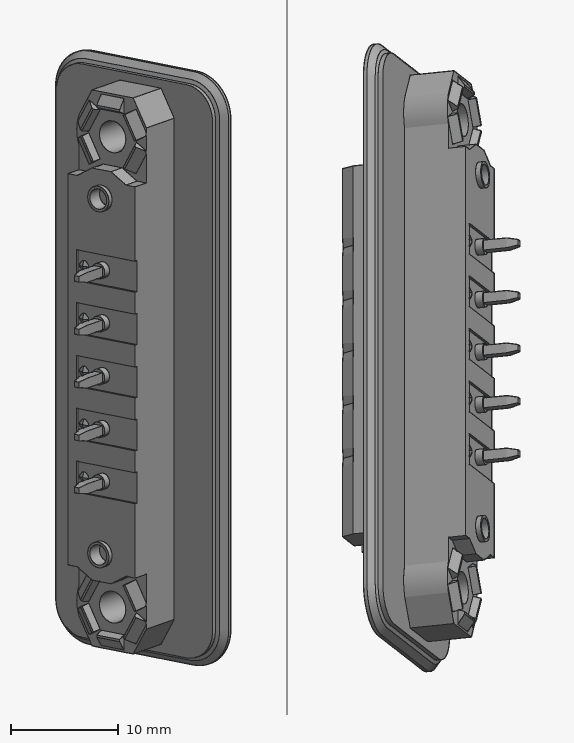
import math

import cadquery as cq


FLANGE_WIDTH = 20.07
FLANGE_HEIGHT = 57.03
FLANGE_OFFSET_X = -0.73
FLANGE_CORNER_RADIUS = 4.0
FLANGE_DEPTH = 1.57
RIM_DEPTH = 0.35
BEVEL_INSET = 0.6
BEVEL_DEPTH = 0.6
LIP_BEVEL_DEPTH = 0.15
STEP_INSET = 0.97

BODY_LEFT = -3.9
BODY_RIGHT = 3.9
BODY_FRONT = 7.6
BODY_END_GAP = 3.8

HOLE_SPACING = 45.2
HOLE_DIAMETER = 3.05
BOSS_FRONT = 5.88
HEX_SIDES = 6
TONGUE_SIDE = 3
BOSS_APOTHEM = 4.12
BOSS_NOSE_RADIUS = 4.16
TAB_TOP = 6.56
TAB_WIDTH = 2.65
TAB_INNER_RADIUS = 2.43
TAB_CREST_INNER_RADIUS = 2.75
TAB_CREST_OUTER_RADIUS = 2.96
TAB_OUTER_RADIUS = 3.9

TONGUE_GAP = 2.8
TONGUE_TIP_HALF_WIDTH = 1.1
TONGUE_BASE_HALF_WIDTH = 2.83

PIN_COUNT = 5
PIN_PITCH = 5.08
PIN_WIDTH = 0.95
PIN_TIP_WIDTH = 0.55
PIN_SHOULDER = 10.4
PIN_END = 11.44
COLLAR_DIAMETER = 1.5
COLLAR_FRONT = 8.1

RECESS_LEFT = -2.9
RECESS_HEIGHT = 2.97
RECESS_DEPTH = 0.25
STUD_X = -2.2
STUD_DIAMETER = 1.05
STUD_POINT_BASE = 1.35
STUD_POINT_TAPER = 60.0

CUP_SPACING = 34.2
CUP_OUTER_DIAMETER = 2.45
CUP_INNER_DIAMETER = 1.95
CUP_HOLE_DEPTH = 1.5

BLOCK_LENGTH = 35.57
BLOCK_BACK = 4.46
LEDGE_LEFT = -4.72
LEDGE_START = 1.42
LEDGE_BEVEL_START = 3.2
LEDGE_BEVEL_WIDTH = 0.54
GROOVE_LEFT = -0.97
GROOVE_RIGHT = 1.07
GROOVE_DEPTH = 1.0
END_ROUND_START = 2.83
NOTCH_BACK_HALF_WIDTH = 0.87
NOTCH_FRONT_HALF_WIDTH = 0.67
NOTCH_SLOPE = 0.22

ENDS = (1, -1)
PIN_HEIGHTS = [(i - (PIN_COUNT - 1) / 2) * PIN_PITCH for i in range(PIN_COUNT)]


def front_plane(depth, x=0, z=0):
    """Plane facing -Y at the given distance in front of the flange's rear face."""
    return cq.Workplane(cq.Plane(origin=(x, -depth, z), xDir=(1, 0, 0), normal=(0, -1, 0)))


def box(x_range, y_range, z_range):
    lows, highs = zip(x_range, y_range, z_range)
    sizes = [high - low for low, high in zip(lows, highs)]
    return cq.Workplane("XY").box(*sizes, centered=False).translate(lows)


def flange_layer(inset, end):
    """Rounded rectangle inset from the flange outline."""
    return (
        front_plane(0, FLANGE_OFFSET_X)
        .rect(FLANGE_WIDTH - 2 * inset, FLANGE_HEIGHT - 2 * inset)
        .extrude(end)
        .edges("|Y")
        .fillet(FLANGE_CORNER_RADIUS - inset)
    )


def beveled_layer(inset, end, bevel_inset, bevel_depth):
    """Flange layer with its front edge beveled."""
    return flange_layer(inset, end).faces("<Y").chamfer(bevel_depth, bevel_inset)


def make_flange():
    rim_end = RIM_DEPTH + BEVEL_DEPTH
    lip_end = rim_end + LIP_BEVEL_DEPTH
    rim = beveled_layer(0, rim_end, BEVEL_INSET, BEVEL_DEPTH)
    lip = beveled_layer(BEVEL_INSET, lip_end, STEP_INSET - BEVEL_INSET, LIP_BEVEL_DEPTH)
    step = flange_layer(STEP_INSET, FLANGE_DEPTH)
    return rim.union(lip).union(step)


def make_front_block():
    half_length = HOLE_SPACING / 2 - BODY_END_GAP
    tip = HOLE_SPACING / 2 - TONGUE_GAP
    block = box((BODY_LEFT, BODY_RIGHT), (-BODY_FRONT, 0), (-half_length, half_length))
    tongues = front_plane(BOSS_FRONT).polyline([
        (-TONGUE_BASE_HALF_WIDTH, half_length),
        (-TONGUE_TIP_HALF_WIDTH, tip),
        (TONGUE_TIP_HALF_WIDTH, tip),
        (TONGUE_BASE_HALF_WIDTH, half_length),
        (TONGUE_BASE_HALF_WIDTH, -half_length),
        (TONGUE_TIP_HALF_WIDTH, -tip),
        (-TONGUE_TIP_HALF_WIDTH, -tip),
        (-TONGUE_BASE_HALF_WIDTH, -half_length),
    ]).close().extrude(BODY_FRONT - BOSS_FRONT)
    half_spacing = HOLE_SPACING / 2
    link = box((BODY_LEFT, BODY_RIGHT), (-BOSS_FRONT, 0), (-half_spacing, half_spacing))
    return block.union(tongues).union(link)


def make_tab(angle):
    """Ridge on one side of the hexagon, sloped on its inner and outer sides."""
    tab = (
        cq.Workplane("YZ")
        .polyline([
            (-BOSS_FRONT, TAB_INNER_RADIUS),
            (-TAB_TOP, TAB_CREST_INNER_RADIUS),
            (-TAB_TOP, TAB_CREST_OUTER_RADIUS),
            (-BOSS_FRONT, TAB_OUTER_RADIUS),
        ])
        .close()
        .extrude(TAB_WIDTH / 2, both=True)
    )
    return tab.rotate((0, 0, 0), (0, 1, 0), angle)


def make_upper_boss():
    """Hexagonal boss centred on the origin, with the block on its -Z side."""
    hexagon_diameter = 2 * BOSS_APOTHEM / math.cos(math.pi / HEX_SIDES)
    boss = front_plane(0).polygon(HEX_SIDES, hexagon_diameter).extrude(BOSS_FRONT)
    for side in range(HEX_SIDES):
        if side != TONGUE_SIDE:
            boss = boss.union(make_tab(side * 360 / HEX_SIDES))
    side_range = (-BOSS_APOTHEM, BOSS_APOTHEM)
    nose_start = -BOSS_APOTHEM * math.cos(math.pi / HEX_SIDES)
    core = box((nose_start, BODY_RIGHT), (-TAB_TOP, 0), side_range)
    left_half = box((-BOSS_NOSE_RADIUS, 0), (-TAB_TOP, 0), side_range)
    nose = front_plane(0).circle(BOSS_NOSE_RADIUS).extrude(TAB_TOP).intersect(left_half)
    return boss.intersect(core.union(nose))


def make_boss(end):
    boss = make_upper_boss()
    if end < 0:
        boss = boss.mirror("XY")
    return boss.translate((0, 0, end * HOLE_SPACING / 2))


def make_mating_block():
    profile = [
        (BODY_LEFT, 0),
        (BODY_LEFT, LEDGE_START),
        (LEDGE_LEFT, LEDGE_START),
        (LEDGE_LEFT, LEDGE_BEVEL_START),
        (LEDGE_LEFT + LEDGE_BEVEL_WIDTH, BLOCK_BACK),
        (BODY_RIGHT, BLOCK_BACK),
        (BODY_RIGHT, 0),
    ]
    block = cq.Workplane("XY").polyline(profile).close().extrude(BLOCK_LENGTH / 2, both=True)
    block = block.faces(">X").edges("|Y").fillet(BODY_RIGHT - END_ROUND_START)
    for end in ENDS:
        block = block.cut(make_end_groove(end))
    for z in PIN_HEIGHTS:
        block = block.cut(make_notch(z))
    return block


def make_end_groove(end):
    """Shallow groove across one end of the mating block."""
    tip = end * BLOCK_LENGTH / 2
    z_range = sorted((tip, tip - end * GROOVE_DEPTH))
    return box((GROOVE_LEFT, GROOVE_RIGHT), (0, BLOCK_BACK), z_range)


def make_notch(z):
    """V-shaped lead-in across the ledge bevel, shallower toward the flange."""
    back_edge = LEDGE_LEFT + LEDGE_BEVEL_WIDTH
    return (
        front_plane(-BLOCK_BACK, 0, z)
        .polyline(notch_triangle(back_edge + NOTCH_BACK_HALF_WIDTH * NOTCH_SLOPE))
        .close()
        .workplane(offset=BLOCK_BACK - LEDGE_BEVEL_START)
        .polyline(notch_triangle(LEDGE_LEFT + NOTCH_FRONT_HALF_WIDTH * NOTCH_SLOPE))
        .close()
        .loft(ruled=True)
    )


def notch_triangle(root_x):
    """V with its root at root_x, opening past the ledge side."""
    mouth_x = LEDGE_LEFT - LEDGE_BEVEL_WIDTH
    half_width = (root_x - mouth_x) / NOTCH_SLOPE
    return [(root_x, 0), (mouth_x, half_width), (mouth_x, -half_width)]


def make_recess(z):
    floor = -BODY_FRONT + RECESS_DEPTH
    z_range = (z - RECESS_HEIGHT / 2, z + RECESS_HEIGHT / 2)
    return box((RECESS_LEFT, BODY_RIGHT), (-BODY_FRONT, floor), z_range)


def make_pin(z):
    floor_depth = BODY_FRONT - RECESS_DEPTH
    collar = front_plane(floor_depth, 0, z).circle(COLLAR_DIAMETER / 2)
    collar = collar.extrude(COLLAR_FRONT - floor_depth)
    shank = front_plane(floor_depth, 0, z).rect(PIN_WIDTH, PIN_WIDTH)
    shank = shank.extrude(PIN_SHOULDER - floor_depth)
    tip = (
        front_plane(PIN_SHOULDER, 0, z)
        .rect(PIN_WIDTH, PIN_WIDTH)
        .workplane(offset=PIN_END - PIN_SHOULDER)
        .rect(PIN_TIP_WIDTH, PIN_TIP_WIDTH)
        .loft(ruled=True)
    )
    return collar.union(shank).union(tip)


def make_stud(z):
    """Low round stud beside a pin with a four-sided point, inside the recess."""
    floor_depth = BODY_FRONT - RECESS_DEPTH
    plane = front_plane(floor_depth, STUD_X, z)
    post = plane.circle(STUD_DIAMETER / 2).extrude(RECESS_DEPTH)
    point = plane.polygon(4, STUD_POINT_BASE).extrude(RECESS_DEPTH, taper=STUD_POINT_TAPER)
    return post.intersect(point)


def make_cup(end):
    z = end * CUP_SPACING / 2
    height = COLLAR_FRONT - BODY_FRONT
    return front_plane(BODY_FRONT, 0, z).circle(CUP_OUTER_DIAMETER / 2).extrude(height)


def make_cup_hole(end):
    z = end * CUP_SPACING / 2
    return front_plane(COLLAR_FRONT, 0, z).circle(CUP_INNER_DIAMETER / 2).extrude(-CUP_HOLE_DEPTH)


def make_mounting_hole(end):
    z = end * HOLE_SPACING / 2
    return front_plane(0, 0, z).circle(HOLE_DIAMETER / 2).extrude(TAB_TOP)


result = make_flange().union(make_front_block()).union(make_mating_block())
for end in ENDS:
    result = result.union(make_boss(end)).union(make_cup(end))
    result = result.cut(make_cup_hole(end)).cut(make_mounting_hole(end))
for z in PIN_HEIGHTS:
    result = result.cut(make_recess(z))
    result = result.union(make_pin(z)).union(make_stud(z))